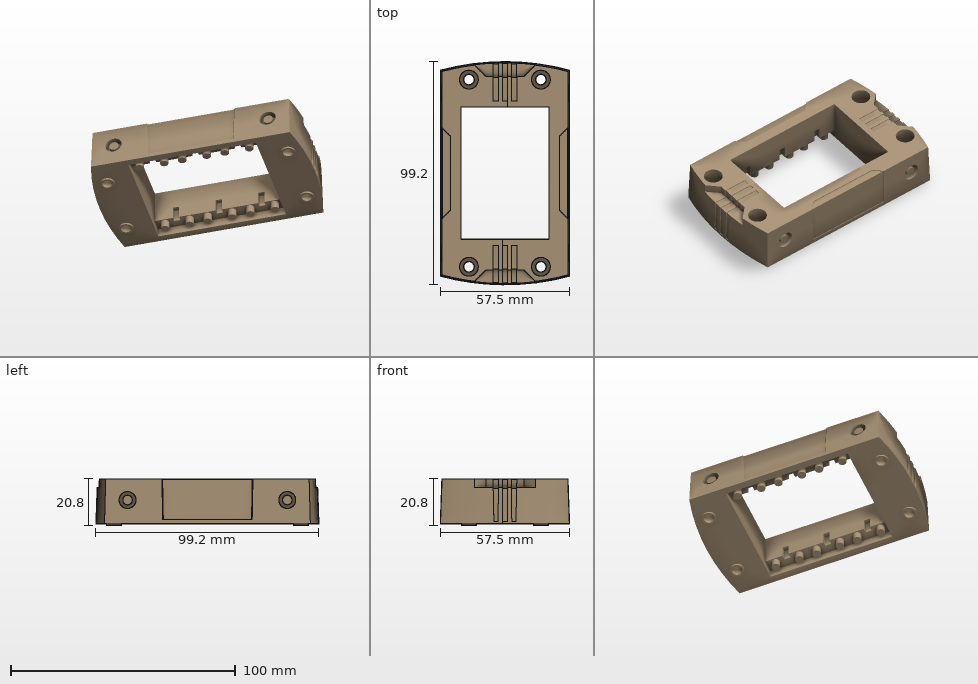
import cadquery as cq
import math

frame_width = 57.49
frame_length = 99.19
frame_height = 20.0
cut_clearance = 1.0
corner_half_length = 45.75
side_draft_deg = 2.0
side_inset_top = frame_height * math.tan(math.radians(side_draft_deg))

window_width = 39.0
window_length = 58.7

notch_depth = 3.9
notch_back_y = 43.0
notch_back_half_width = 8.45
notch_reach = frame_length / 2 + cut_clearance - notch_back_y

relief_depth = 0.35
groove_start_y = 32.15
groove_bottom_z = 0.95
middle_groove_half_width = 1.15
outer_groove_top = (2.85, 5.3)
outer_groove_bottom = (3.05, 4.9)

label_half_length_top = 20.25
label_half_length_bottom = 19.9
label_end_slope = 0.3
label_bottom_z = 1.9
label_ledge_width = 3.75
label_ledge_x = frame_width / 2 - side_inset_top - label_ledge_width

screw_x = 16.0
screw_y = 41.6
screw_hole_diameter = 4.6
screw_head_diameter = 8.35
screw_head_depth = 12.0
foot_diameter = 6.6
foot_height = 0.75

ring_y = 35.5
ring_z = 10.6
ring_outer_diameter = 7.5
ring_inner_diameter = 4.25
ring_depth = 4.0
ring_pin_setback = 0.6

channel_height = 4.0
channel_width = 6.0
slot_pitch = 19.6
slot_width = 2.9
slot_depth = 2.2
slot_height = 5.9
peg_offset_from_slot = 5.65
peg_diameter = 3.8
peg_length = 3.5
peg_offset_from_wall = 2.3

seam_offset = middle_groove_half_width
tongue_thickness = 6.0
tongue_top_z = 15.7


def box_between(x_range, y_range, z_range):
    (x0, x1), (y0, y1), (z0, z1) = x_range, y_range, z_range
    return cq.Workplane("XY").box(x1 - x0, y1 - y0, z1 - z0, centered=False).translate((x0, y0, z0))


def turned(shape):
    """The same shape at the opposite end of the frame, half a turn about Z."""
    return shape.rotate((0, 0, 0), (0, 0, 1), 180)


def tapered_block(inset, height):
    """Frame outline with curved ends, moved in by `inset`, drafted inwards towards the top."""
    x = frame_width / 2 - inset
    y = corner_half_length - inset
    y_end = frame_length / 2 - inset
    return (
        cq.Workplane("XY")
        .moveTo(-x, -y)
        .threePointArc((0, -y_end), (x, -y))
        .lineTo(x, y)
        .threePointArc((0, y_end), (-x, y))
        .close()
        .extrude(height, taper=side_draft_deg)
    )


def end_notch(inset):
    """Notch at the +Y end, with its floor and back wall moved into the body by `inset`."""
    floor_z = frame_height - notch_depth - inset
    back_y = notch_back_y - inset
    half_back = notch_back_half_width
    half_front = half_back + notch_reach
    return (
        cq.Workplane("XY", origin=(0, 0, floor_z))
        .polyline([
            (-half_back, back_y),
            (half_back, back_y),
            (half_front, back_y + notch_reach),
            (-half_front, back_y + notch_reach),
        ])
        .close()
        .extrude(notch_depth + inset + cut_clearance)
    )


def notched_block(inset):
    block = tapered_block(inset, frame_height - inset)
    notch = end_notch(inset)
    return block.cut(notch).cut(turned(notch))


def groove_stripe(top_edges, bottom_edges):
    """Upright stripe at the +Y end that marks where one groove runs."""
    length = frame_length / 2 + cut_clearance - groove_start_y
    return (
        cq.Workplane("XZ", origin=(0, groove_start_y, 0))
        .polyline([
            (bottom_edges[0], groove_bottom_z),
            (bottom_edges[1], groove_bottom_z),
            (top_edges[1], frame_height),
            (top_edges[0], frame_height),
        ])
        .close()
        .extrude(-length)
    )


def cut_grip_grooves(body):
    """Three grooves that follow the top, the notch and the curved face of each end."""
    middle_edges = (-middle_groove_half_width, middle_groove_half_width)
    outer_stripe = groove_stripe(outer_groove_top, outer_groove_bottom)
    stripes = [
        groove_stripe(middle_edges, middle_edges),
        outer_stripe,
        outer_stripe.mirror("YZ"),
    ]
    core = notched_block(relief_depth)
    for stripe in stripes:
        groove = stripe.cut(core)
        body = body.cut(groove).cut(turned(groove))
    return body


def label_side_recess():
    """Shallow recess in the drafted +X face; its two end walls slope outwards to the face."""
    draft = math.radians(side_draft_deg)
    face = cq.Plane(
        origin=(frame_width / 2, 0, 0),
        xDir=(0, 1, 0),
        normal=(math.cos(draft), 0, math.sin(draft)),
    )

    label_top = frame_height + cut_clearance

    def outline(growth):
        bottom = label_half_length_bottom + growth
        top = label_half_length_top + growth
        return [
            (-bottom, label_bottom_z),
            (bottom, label_bottom_z),
            (top, label_top),
            (-top, label_top),
        ]

    return (
        cq.Workplane(face)
        .workplane(offset=-relief_depth)
        .polyline(outline(-label_end_slope))
        .close()
        .workplane(offset=2 * relief_depth)
        .polyline(outline(label_end_slope))
        .close()
        .loft(ruled=True)
    )


def label_ledge_recess():
    """Shallow recess in the top face that carries the +X label recess over the edge."""
    outer_x = label_ledge_x + label_ledge_width
    ledge_half_length = label_half_length_top - label_ledge_width
    return (
        cq.Workplane("XY", origin=(0, 0, frame_height - relief_depth))
        .polyline([
            (label_ledge_x, -ledge_half_length),
            (outer_x, -label_half_length_top),
            (outer_x, label_half_length_top),
            (label_ledge_x, ledge_half_length),
        ])
        .close()
        .extrude(relief_depth)
    )


def cut_label_recesses(body):
    for recess in (label_side_recess(), label_ledge_recess()):
        body = body.cut(recess).cut(turned(recess))
    return body


def add_screw_holes(body):
    places = [(sx * screw_x, sy * screw_y) for sx in (-1, 1) for sy in (-1, 1)]
    feet = (
        cq.Workplane("XY", origin=(0, 0, -foot_height))
        .pushPoints(places)
        .circle(foot_diameter / 2)
        .extrude(2 * foot_height)
    )
    holes = (
        cq.Workplane("XY", origin=(0, 0, -foot_height))
        .pushPoints(places)
        .circle(screw_hole_diameter / 2)
        .extrude(foot_height + frame_height)
    )
    heads = (
        cq.Workplane("XY", origin=(0, 0, frame_height - screw_head_depth))
        .pushPoints(places)
        .circle(screw_head_diameter / 2)
        .extrude(screw_head_depth)
    )
    return body.union(feet).cut(holes).cut(heads)


def cut_side_rings(body):
    """Round pockets in the +X and -X faces, each with a pin set back from the face."""
    draft_at_ring = ring_z * math.tan(math.radians(side_draft_deg))
    face_x = frame_width / 2 - draft_at_ring
    for y in (-ring_y, ring_y):
        floor = cq.Workplane("YZ", origin=(face_x - ring_depth, y, ring_z))
        pocket = floor.circle(ring_outer_diameter / 2).extrude(2 * ring_depth)
        pin = floor.circle(ring_inner_diameter / 2).extrude(ring_depth - ring_pin_setback)
        ring = pocket.cut(pin)
        body = body.cut(ring).cut(turned(ring))
    return body


def shape_contact_channels(body):
    """Open channels under both long sides, with slots in the window wall and hanging pegs."""
    wall_x = window_width / 2
    half_window = window_length / 2
    channel = box_between(
        (0, wall_x + channel_width), (-half_window, half_window), (0, channel_height)
    )
    body = body.cut(channel).cut(turned(channel))
    for slot_y in (-slot_pitch, 0, slot_pitch):
        slot = box_between(
            (0, wall_x + slot_depth),
            (slot_y - slot_width / 2, slot_y + slot_width / 2),
            (channel_height, channel_height + slot_height),
        )
        body = body.cut(slot).cut(turned(slot))
        for side in (-1, 1):
            peg_y = slot_y + side * peg_offset_from_slot
            peg = (
                cq.Workplane("XY", origin=(wall_x + peg_offset_from_wall, peg_y, channel_height))
                .circle(peg_diameter / 2)
                .extrude(-peg_length)
            )
            body = body.union(peg).union(turned(peg))
    return body


def right_half_space():
    """Region of the right half: offset butt seams, with a lap tongue low on the window side."""
    far = frame_length
    z_range = (-frame_height, 2 * frame_height)
    tongue_range = (-frame_height, tongue_top_z)
    half_window = window_length / 2
    lap_end = half_window + tongue_thickness
    seam = (-seam_offset, seam_offset)
    region = box_between((seam_offset, far), (0, far), z_range)
    region = region.union(box_between((-seam_offset, far), (-far, 0), z_range))
    region = region.union(box_between(seam, (0, lap_end), tongue_range))
    return region.cut(box_between(seam, (-lap_end, 0), tongue_range))


def whole_frame():
    window = cq.Workplane("XY").rect(window_width, window_length).extrude(frame_height)
    body = notched_block(0).cut(window)
    body = cut_grip_grooves(body)
    body = cut_label_recesses(body)
    body = shape_contact_channels(body)
    body = cut_side_rings(body)
    return add_screw_holes(body)


frame = whole_frame()
right_region = right_half_space()
right_half = frame.intersect(right_region)
left_half = frame.cut(right_region)

result = cq.Compound.makeCompound([left_half.val(), right_half.val()])